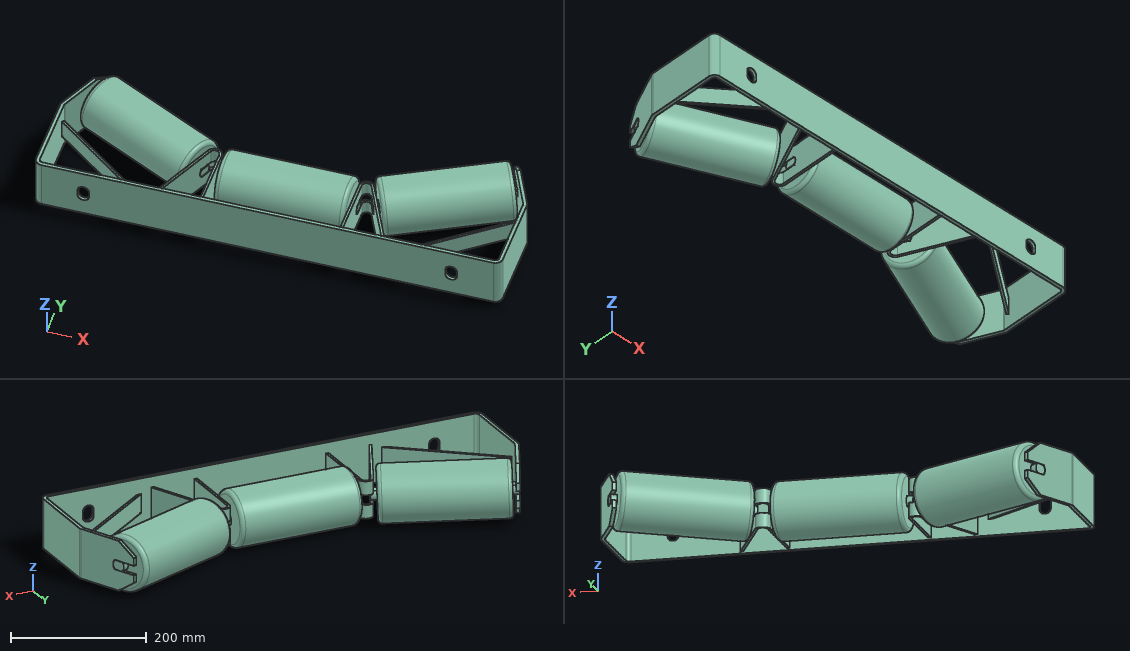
import cadquery as cq
import math


frame_length = 720.0
strap_width = 80.0
strap_thickness = 6.0
strap_mid = strap_width / 2
corner_radius = 11.5
flange_bend_height = 133.0
flange_bend_radius = 9.0
flange_length = 102.0
flange_chamfer_along = 29.0
flange_chamfer_across = 20.0
trough_angle = 25.0

mount_slot_offset = 284.0
mount_slot_width = 18.0
mount_slot_length = 26.0

roller_length = 200.0
roller_diameter = 89.0
roller_fillet = 6.5
axle_length = 220.0
axle_diameter = 20.0
axle_flats = 15.0
centre_roller_height = 99.0
centre_roller_drop = 7.0
centre_roller_z = strap_mid - centre_roller_drop
wing_offset = 229.0
wing_height = 153.0
wing_tilt = 2.0
wing_z = strap_mid - axle_length / 2 * math.sin(math.radians(wing_tilt))

bracket_width = 60.0
bracket_thickness = 4.0
bracket_z = centre_roller_z - bracket_width / 2
bracket_face = 106.0
bracket_top = 127.0
bracket_bend_radius = 11.5

brace_width = 30.0
brace_thickness = 4.0
brace_wall_height = 121.0
brace_foot_offset = 204.0

seat_depth = 57.5
seat_overrun = 9.0

lean_sin = math.sin(math.radians(trough_angle))
lean_cos = math.cos(math.radians(trough_angle))


def mirrored(body):
    """Copy of a left-hand body on the right-hand side."""
    return body.mirror("YZ")


def place_centre(body):
    """Move a body built about its own axle to the centre roller position."""
    return body.translate((0, centre_roller_height, centre_roller_z))


def place_left_wing(body):
    """Move a body built about its own axle to the left wing roller position."""
    tilted = body.rotate((0, 0, 0), (0, 1, 0), wing_tilt)
    leaning = tilted.rotate((0, 0, 0), (0, 0, 1), -trough_angle)
    return leaning.translate((-wing_offset, wing_height, wing_z))


def cylinder_along_x(diameter, length):
    """Cylinder along X, centred on the origin."""
    return cq.Workplane("XY").cylinder(length, diameter / 2, direct=cq.Vector(1, 0, 0))


def axle_bar(length):
    """Round bar along X with a flat above and below, centred on the origin."""
    bar = cylinder_along_x(axle_diameter, length)
    return bar.intersect(cq.Workplane().box(length, axle_diameter, axle_flats))


def make_roller():
    """Roller shell with rounded rims and its projecting flatted axle, one solid."""
    shell = cylinder_along_x(roller_diameter, roller_length)
    shell = shell.faces("<X or >X").edges().fillet(roller_fillet)
    return shell.union(axle_bar(axle_length))


def seat_cutter():
    """Open-ended slot that fits the axle flats and runs out in +Y."""
    length = axle_length + 2 * seat_overrun
    opening = cq.Workplane().box(length, seat_depth, axle_flats).translate((0, seat_depth / 2, 0))
    return opening.union(axle_bar(length))


def left_strap():
    """Left half of the bent strap: base, side wall and leaning flange."""
    half_length = frame_length / 2
    wall_inside = half_length - strap_thickness
    bend_inside = flange_bend_height - strap_thickness * math.tan(math.radians(trough_angle / 2))
    tip_x = -half_length + flange_length * lean_sin
    tip_y = flange_bend_height + flange_length * lean_cos
    outline = [
        (0, 0),
        (-half_length, 0),
        (-half_length, flange_bend_height),
        (tip_x, tip_y),
        (tip_x + strap_thickness * lean_cos, tip_y - strap_thickness * lean_sin),
        (-wall_inside, bend_inside),
        (-wall_inside, strap_thickness),
        (0, strap_thickness),
    ]
    strap = cq.Workplane().polyline(outline).close().extrude(strap_width)

    bends = [
        ((-half_length, 0), corner_radius),
        ((-wall_inside, strap_thickness), corner_radius - strap_thickness),
        ((-half_length, flange_bend_height), flange_bend_radius),
        ((-wall_inside, bend_inside), flange_bend_radius - strap_thickness),
    ]
    for (x, y), radius in bends:
        edge = cq.selectors.NearestToPointSelector((x, y, strap_mid))
        strap = strap.edges("|Z").edges(edge).fillet(radius)
    return strap.cut(flange_corner_cutter())


def flange_corner_cutter():
    """Two triangular prisms that chamfer the corners of the left flange tip."""
    flange_plane = cq.Plane(
        origin=(-frame_length / 2, flange_bend_height, 0),
        xDir=(lean_sin, lean_cos, 0),
        normal=(lean_cos, -lean_sin, 0),
    )
    across = flange_plane.yDir.z
    cutter = cq.Workplane()
    for edge_z, inward in ((0, 1), (strap_width, -1)):
        corner = [
            (flange_length, across * edge_z),
            (flange_length - flange_chamfer_along, across * edge_z),
            (flange_length, across * (edge_z + inward * flange_chamfer_across)),
        ]
        prism = cq.Workplane(flange_plane).polyline(corner).close().extrude(strap_thickness)
        cutter = cutter.add(prism)
    return cutter.combine()


def make_frame():
    """Whole strap with mounting slots in the base and axle seats in the flanges."""
    strap = left_strap().cut(place_left_wing(seat_cutter()))
    frame = strap.union(mirrored(strap))
    slots = (
        cq.Workplane("XZ")
        .pushPoints([(-mount_slot_offset, strap_mid), (mount_slot_offset, strap_mid)])
        .slot2D(mount_slot_length, mount_slot_width, 90)
        .extrude(-strap_thickness)
    )
    return frame.cut(slots)


def make_left_bracket():
    """Hairpin of flat strip: an upright leg, a round bend and a leaning leg on the base."""
    bend_x = -bracket_face - bracket_bend_radius
    bend_y = bracket_top - bracket_bend_radius
    inner_radius = bracket_bend_radius - bracket_thickness

    def leaning_side(radius):
        """Bend tangent point and foot of the leaning leg face at this bend radius."""
        tangent = (bend_x - radius * lean_cos, bend_y + radius * lean_sin)
        drop = tangent[1] - strap_thickness
        foot = (tangent[0] - drop * lean_sin / lean_cos, strap_thickness)
        return tangent, foot

    outer_tangent, outer_foot = leaning_side(bracket_bend_radius)
    inner_tangent, inner_foot = leaning_side(inner_radius)
    strip = (
        cq.Workplane()
        .moveTo(-bracket_face, strap_thickness)
        .lineTo(-bracket_face, bend_y)
        .threePointArc((bend_x, bracket_top), outer_tangent)
        .lineTo(*outer_foot)
        .lineTo(*inner_foot)
        .lineTo(*inner_tangent)
        .threePointArc((bend_x, bend_y + inner_radius), (bend_x + inner_radius, bend_y))
        .lineTo(bend_x + inner_radius, strap_thickness)
        .close()
        .extrude(bracket_width)
        .translate((0, 0, bracket_z))
    )
    return strip.cut(place_centre(seat_cutter())).cut(place_left_wing(seat_cutter()))


def make_left_brace():
    """Flat bar from the side wall down to the base, square-cut at the wall end."""
    wall_x = -frame_length / 2 + strap_thickness
    run = -brace_foot_offset - wall_x
    drop = brace_wall_height - strap_thickness
    slope = math.atan2(drop, run)
    foot_width = brace_thickness / math.sin(slope)
    outline = [
        (wall_x, brace_wall_height),
        (-brace_foot_offset, strap_thickness),
        (-brace_foot_offset + foot_width, strap_thickness),
        (
            wall_x + brace_thickness * math.sin(slope),
            brace_wall_height + brace_thickness * math.cos(slope),
        ),
    ]
    bar = cq.Workplane().polyline(outline).close().extrude(brace_width)
    return bar.translate((0, 0, strap_mid - brace_width / 2))


frame = make_frame()

centre_roller = place_centre(make_roller())
left_wing_roller = place_left_wing(make_roller())
rollers = [centre_roller, left_wing_roller, mirrored(left_wing_roller)]

left_bracket = make_left_bracket()
brackets = [left_bracket, mirrored(left_bracket)]

left_brace = make_left_brace()
braces = [left_brace, mirrored(left_brace)]

bodies = [frame, *rollers, *brackets, *braces]
result = cq.Compound.makeCompound([body.solids().val() for body in bodies])